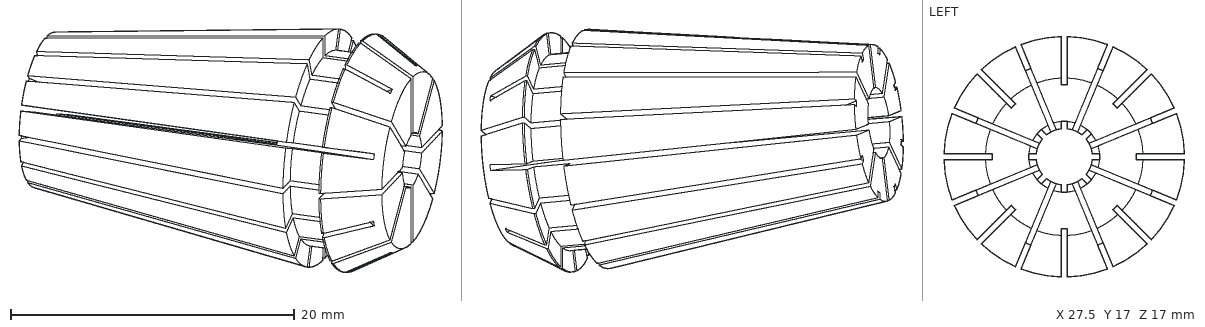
import cadquery as cq
import math

length = 27.5
max_radius = 8.5
nose_taper = math.radians(8)
groove_start = 20.87
groove_end = 23.57
groove_radius = 6.98
rim_width = 0.15
head_taper = math.radians(30)

head_cone_start = groove_end + rim_width
nose_radius = max_radius - groove_start * math.tan(nose_taper)

bore_radius = 1.98
relief_radius = 2.5
relief_depth = length / 2

slots_per_end = 8
slot_pitch = 360 / slots_per_end
slot_width = 0.4
saw_radius = 35.75
blade_top = max_radius + 0.28

nose_slot_end = 26.87
nose_slot_exit_angle = math.radians(36)

notch_floor_radius = 5.1
notch_floor_angle = math.radians(38.3)


def head_cone_radius(x):
    """Radius of the head cone at a given X."""
    return max_radius - (x - head_cone_start) * math.tan(head_taper)


def turned_body():
    """Long taper, groove, narrow rim and steep head cone."""
    profile = [
        (0, 0),
        (0, nose_radius),
        (groove_start, max_radius),
        (groove_start, groove_radius),
        (groove_end, groove_radius),
        (groove_end, max_radius),
        (head_cone_start, max_radius),
        (length, head_cone_radius(length)),
        (length, 0),
    ]
    return cq.Workplane("XY").polyline(profile).close().revolve(360, (0, 0, 0), (1, 0, 0))


def axial_hole(radius, depth):
    """Cylinder along X, starting at the nose face."""
    return cq.Workplane("YZ").circle(radius).extrude(depth)


def slot_cutter(x, radius, floor_angle, open_end):
    """Flat blade in the XZ plane, from inside the bore to outside the body, open toward X = open_end.

    Its blind end is the saw arc that passes through (x, radius), sloped there by floor_angle to X,
    and flattens as it dips into the bore.
    """
    toward_open = math.copysign(1, open_end - x)
    center_x = x + toward_open * saw_radius * math.sin(floor_angle)
    center_z = radius + saw_radius * math.cos(floor_angle)
    blade_bottom = bore_radius / 2
    bottom_angle = math.acos((center_z - blade_bottom) / saw_radius)

    def on_arc(angle):
        return (center_x - toward_open * saw_radius * math.sin(angle), center_z - saw_radius * math.cos(angle))

    blade = (
        cq.Workplane("XZ")
        .moveTo(x, radius)
        .threePointArc(on_arc((floor_angle + bottom_angle) / 2), on_arc(bottom_angle))
        .lineTo(open_end, blade_bottom)
        .lineTo(open_end, blade_top)
        .lineTo(x, blade_top)
        .close()
    )
    return blade.extrude(slot_width / 2, both=True)


def about_axis(cutter, angle):
    """Cutter turned about the X axis."""
    return cutter.rotate((0, 0, 0), (1, 0, 0), angle)


head_slot = slot_cutter(0, notch_floor_radius, notch_floor_angle, length)
nose_slot = slot_cutter(nose_slot_end, head_cone_radius(nose_slot_end), nose_slot_exit_angle, 0)

result = turned_body()
result = result.cut(axial_hole(bore_radius, length))
result = result.cut(axial_hole(relief_radius, relief_depth))

for index in range(slots_per_end):
    head_slot_angle = index * slot_pitch
    nose_slot_angle = head_slot_angle + slot_pitch / 2
    result = result.cut(about_axis(head_slot, head_slot_angle))
    result = result.cut(about_axis(nose_slot, nose_slot_angle))